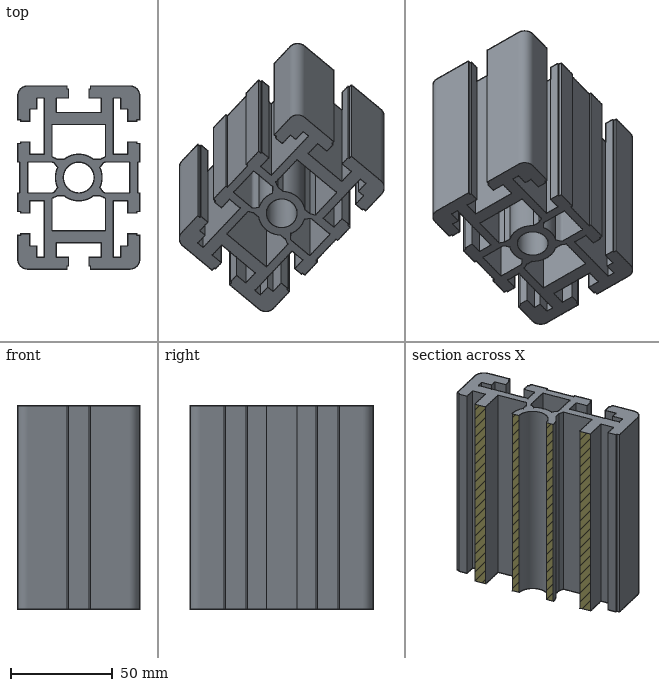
import cadquery as cq

WIDTH = 60.0
DEPTH = 90.0
LENGTH = 100.0
CORNER_RADIUS = 5.0

HALF_WIDTH = WIDTH / 2
HALF_DEPTH = DEPTH / 2

SLOT_OPENING = 10.0
SLOT_WIDTH = 22.0
SLOT_DEPTH = 13.0
LIP_THICKNESS = 6.0
MOUTH_STEP_WIDTH = 11.5
MOUTH_STEP_DEPTH = 1.5
SIDE_SLOT_OFFSET = DEPTH / 4

CORNER_POCKET_INSET = 9.5

SIDE_RELIEF_WIDTH = 15.0
SIDE_RELIEF_DEPTH = 1.0

BORE_DIAMETER = 15.0
HUB_DIAMETER = 23.0

CHAMBER_HALF_WIDTH = 13.0
CHAMBER_OUTER_Y = 26.0
CHAMBER_INNER_Y = 9.0
CHAMBER_BEVEL_X = 2.5
CHAMBER_BEVEL_Y = 1.2

SIDE_CHAMBER_HALF_HEIGHT = 7.5
SIDE_CHAMBER_OUTER_X = 25.0
SIDE_CHAMBER_INNER_X = 12.3
SIDE_CHAMBER_TIP_X = 9.8
SIDE_CHAMBER_TIP_Y = 4.1
SIDE_CHAMBER_CORNER_RADIUS = 1.6

SELECTION_MARGIN = 0.1

SIGNS = (-1, 1)


def box_between(x_start, x_end, y_start, y_end):
    """Full-length block spanning two X and two Y positions."""
    return (
        cq.Workplane("XY")
        .center((x_start + x_end) / 2, (y_start + y_end) / 2)
        .rect(abs(x_end - x_start), abs(y_end - y_start))
        .extrude(LENGTH)
    )


def cylinder(diameter):
    """Full-length cylinder on the profile axis."""
    return cq.Workplane("XY").circle(diameter / 2).extrude(LENGTH)


def prism(points):
    """Full-length prism with a closed polygonal outline."""
    return cq.Workplane("XY").polyline(points).close().extrude(LENGTH)


def place_in_quadrant(shape, side_x, side_y):
    """Mirror a shape from the +X +Y quadrant into the requested one."""
    if side_x < 0:
        shape = shape.mirror("YZ")
    if side_y < 0:
        shape = shape.mirror("XZ")
    return shape


def t_slot(face_distance):
    """T-slot centred on the X axis and open towards +X at the given face."""
    lip_x = face_distance - LIP_THICKNESS
    floor_x = face_distance - SLOT_DEPTH
    step_x = face_distance - MOUTH_STEP_DEPTH
    channel = box_between(floor_x, lip_x, -SLOT_WIDTH / 2, SLOT_WIDTH / 2)
    throat = box_between(floor_x, face_distance, -SLOT_OPENING / 2, SLOT_OPENING / 2)
    mouth = box_between(step_x, face_distance, -MOUTH_STEP_WIDTH / 2, MOUTH_STEP_WIDTH / 2)
    return channel.union(throat).union(mouth)


def end_slot(side):
    """T-slot in the middle of a short side."""
    return t_slot(HALF_DEPTH).rotate((0, 0, 0), (0, 0, 1), side * 90)


def side_slot(side_x, side_y):
    """T-slot in a long side, with its pocket towards the profile corner."""
    slot = t_slot(HALF_WIDTH)
    pocket = box_between(
        HALF_WIDTH - SLOT_DEPTH,
        HALF_WIDTH - CORNER_POCKET_INSET,
        0,
        HALF_DEPTH - LIP_THICKNESS - SIDE_SLOT_OFFSET,
    )
    slot = slot.union(pocket).translate((0, SIDE_SLOT_OFFSET, 0))
    return place_in_quadrant(slot, side_x, side_y)


def side_relief(side):
    """Shallow flat recess along the middle of a long side."""
    return box_between(
        side * (HALF_WIDTH - SIDE_RELIEF_DEPTH),
        side * HALF_WIDTH,
        -SIDE_RELIEF_WIDTH / 2,
        SIDE_RELIEF_WIDTH / 2,
    )


def end_chamber(side):
    """Large chamber with bevelled inner corners, bounded by the hub."""
    bevel_end_x = CHAMBER_HALF_WIDTH - CHAMBER_BEVEL_X
    bevel_end_y = side * (CHAMBER_INNER_Y + CHAMBER_BEVEL_Y)
    outer_y = side * CHAMBER_OUTER_Y
    inner_y = side * CHAMBER_INNER_Y
    outline = [
        (-CHAMBER_HALF_WIDTH, outer_y),
        (CHAMBER_HALF_WIDTH, outer_y),
        (CHAMBER_HALF_WIDTH, bevel_end_y),
        (bevel_end_x, inner_y),
        (-bevel_end_x, inner_y),
        (-CHAMBER_HALF_WIDTH, bevel_end_y),
    ]
    return prism(outline).cut(cylinder(HUB_DIAMETER))


def side_chamber(side):
    """Small chamber tapering towards the hub and bounded by it."""
    outer_x = side * SIDE_CHAMBER_OUTER_X
    inner_x = side * SIDE_CHAMBER_INNER_X
    tip_x = side * SIDE_CHAMBER_TIP_X
    outline = [
        (outer_x, -SIDE_CHAMBER_HALF_HEIGHT),
        (outer_x, SIDE_CHAMBER_HALF_HEIGHT),
        (inner_x, SIDE_CHAMBER_HALF_HEIGHT),
        (tip_x, SIDE_CHAMBER_TIP_Y),
        (tip_x, -SIDE_CHAMBER_TIP_Y),
        (inner_x, -SIDE_CHAMBER_HALF_HEIGHT),
    ]
    chamber = prism(outline)
    shoulder_edges = chamber.edges("|Z").edges(
        cq.selectors.BoxSelector(
            (inner_x - SELECTION_MARGIN, -HALF_DEPTH, 0),
            (inner_x + SELECTION_MARGIN, HALF_DEPTH, LENGTH),
        )
    )
    chamber = shoulder_edges.fillet(SIDE_CHAMBER_CORNER_RADIUS)
    return chamber.cut(cylinder(HUB_DIAMETER))


profile = box_between(-HALF_WIDTH, HALF_WIDTH, -HALF_DEPTH, HALF_DEPTH)
profile = profile.edges("|Z").fillet(CORNER_RADIUS)
profile = profile.cut(cylinder(BORE_DIAMETER))

for side in SIGNS:
    profile = profile.cut(end_slot(side))
    profile = profile.cut(end_chamber(side))
    profile = profile.cut(side_chamber(side))
    profile = profile.cut(side_relief(side))

for side_x in SIGNS:
    for side_y in SIGNS:
        profile = profile.cut(side_slot(side_x, side_y))

result = profile